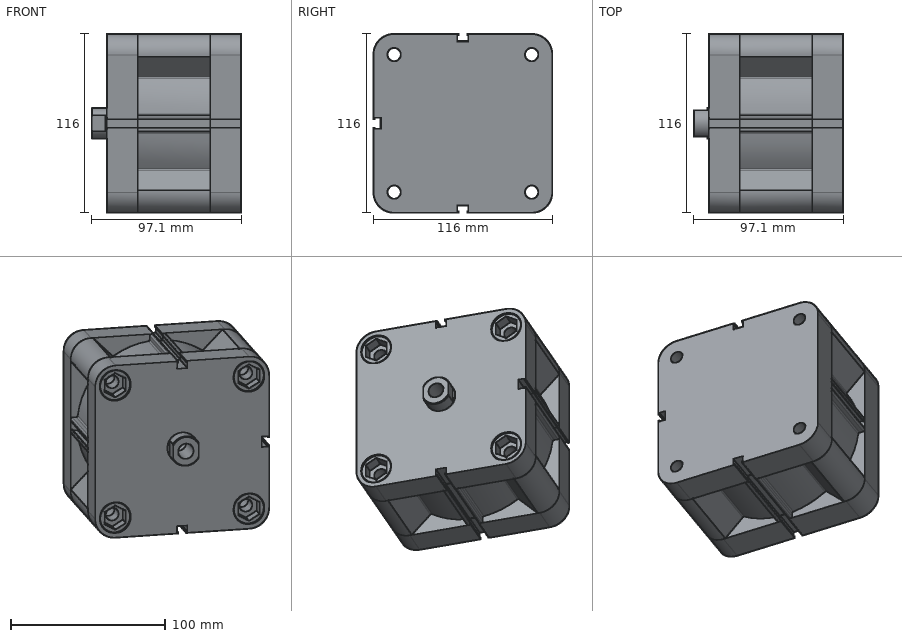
import cadquery as cq
import math

half_side = 58.0
cap_length = 20.0
barrel_length = 47.1
rear_cap_start = cap_length + barrel_length

bolt_offset = 44.5
corner_radius = half_side - bolt_offset
bolt_hole_diameter = 8.5
hex_across_flats = 14.2
hex_depth = 8.7
counterbore_diameter = 20.5
counterbore_depth = 0.5
ring_inner_diameter = 20.0
ring_depth = 1.0

slot_mouth_width = 5.5
slot_width = 7.0
slot_lip = 0.9
cap_slot_depth = 5.0
cap_slot_angles = (0, 90, 180)

tube_radius = 53.7
web_thickness = 20.9
rail_width = 10.8
barrel_slot_depth = 4.6
profile_fillet = 1.0
mouth_fillet = 0.5
barrel_slot_angles = (0, 90, 180, 270)

rod_diameter = 20.0
rod_projection = 10.0
rod_flats = 17.0
rod_collar = 1.0
rod_chamfer = 0.5
rod_bore_diameter = 10.2
rod_bore_depth = 20.0
drill_point_angle = 118.0

bolt_centres = [(y, z) for y in (-bolt_offset, bolt_offset) for z in (-bolt_offset, bolt_offset)]


def x_plane(x):
    """Plane across the axis at x, with local axes along Y and Z and the normal along +X."""
    return cq.Workplane("YZ", origin=(x, 0, 0))


def slot_cutter(x, length, depth, angle):
    """Lipped slot in the top side, turned about the X axis by the angle."""
    mouth = x_plane(x).center(0, half_side - depth / 2).rect(slot_mouth_width, depth).extrude(length)
    channel_height = depth - slot_lip
    channel_centre = half_side - slot_lip - channel_height / 2
    channel = x_plane(x).center(0, channel_centre).rect(slot_width, channel_height).extrude(length)
    return mouth.union(channel).rotate((0, 0, 0), (1, 0, 0), angle)


def cap_blank(x):
    """Rounded square cap with the bolt holes and the sensor slots cut through it."""
    cap = x_plane(x).rect(2 * half_side, 2 * half_side).extrude(cap_length)
    cap = cap.edges("|X").fillet(corner_radius)
    cap = cap.cut(x_plane(x).pushPoints(bolt_centres).circle(bolt_hole_diameter / 2).extrude(cap_length))
    for angle in cap_slot_angles:
        cap = cap.cut(slot_cutter(x, cap_length, cap_slot_depth, angle))
    return cap


def make_front_cap():
    """Cap with the rod hole and, at each bolt hole, a hex socket in a shallow ringed counterbore."""
    hex_corner_diameter = 2 * hex_across_flats / math.sqrt(3)
    cap = cap_blank(0)
    for y, z in bolt_centres:
        counterbore = x_plane(0).center(y, z).circle(counterbore_diameter / 2).extrude(counterbore_depth)
        ring = x_plane(0).center(y, z).circle(counterbore_diameter / 2).circle(ring_inner_diameter / 2)
        socket = x_plane(0).center(y, z).transformed(rotate=(0, 0, 90)).polygon(6, hex_corner_diameter)
        cap = cap.cut(counterbore).cut(ring.extrude(ring_depth)).cut(socket.extrude(hex_depth))
    return cap.cut(x_plane(0).circle(rod_diameter / 2).extrude(cap_length))


def fillet_at_radius(body, radius, fillet):
    """Round the edges along X that lie at the given distance from the axis."""
    tolerance = 0.01

    def at_radius(edge):
        centre = edge.Center()
        return abs(math.hypot(centre.y, centre.z) - radius) < tolerance

    return body.edges("|X").filter(at_radius).fillet(fillet)


def make_barrel():
    """Tube crossed by two diagonal webs with rounded ends, with a slotted rail on each side."""
    length = barrel_length
    start = x_plane(cap_length)
    barrel = start.circle(tube_radius).extrude(length)
    web_length = 2 * (math.hypot(bolt_offset, bolt_offset) + corner_radius)
    web = start.slot2D(web_length, 2 * corner_radius).extrude(length)
    web = web.intersect(start.rect(web_length, web_thickness).extrude(length))
    for angle in (45, 135):
        barrel = barrel.union(web.rotate((0, 0, 0), (1, 0, 0), angle))
    barrel = barrel.union(start.rect(rail_width, 2 * half_side).extrude(length))
    barrel = barrel.union(start.rect(2 * half_side, rail_width).extrude(length))

    barrel = fillet_at_radius(barrel, tube_radius, profile_fillet)
    barrel = fillet_at_radius(barrel, math.hypot(half_side, rail_width / 2), profile_fillet)
    for angle in barrel_slot_angles:
        barrel = barrel.cut(slot_cutter(cap_length, length, barrel_slot_depth, angle))
    barrel = fillet_at_radius(barrel, math.hypot(half_side, slot_mouth_width / 2), mouth_fillet)
    return barrel.cut(start.pushPoints(bolt_centres).circle(bolt_hole_diameter / 2).extrude(length))


def make_rod():
    """Round rod with two wrench flats and a blind bore ending in a drill point."""
    length = rod_projection + cap_length
    rod = x_plane(-rod_projection).circle(rod_diameter / 2).extrude(length)
    rod = rod.faces("<X").chamfer(rod_chamfer)
    flat_length = rod_projection - rod_collar
    flats = (
        x_plane(-rod_projection)
        .rect(2 * rod_diameter, rod_diameter)
        .rect(rod_flats, rod_diameter)
        .extrude(flat_length)
    )
    rod = rod.cut(flats)
    bore_radius = rod_bore_diameter / 2
    point_length = bore_radius / math.tan(math.radians(drill_point_angle / 2))
    bore_end = rod_bore_depth - rod_projection
    bore = (
        cq.Workplane("XY")
        .moveTo(-rod_projection, 0)
        .lineTo(-rod_projection, bore_radius)
        .lineTo(bore_end, bore_radius)
        .lineTo(bore_end + point_length, 0)
        .close()
        .revolve(360, (0, 0, 0), (1, 0, 0))
    )
    return rod.cut(bore)


front_cap = make_front_cap()
barrel = make_barrel()
rear_cap = cap_blank(rear_cap_start)
rod = make_rod()

result = cq.Compound.makeCompound([front_cap.val(), barrel.val(), rear_cap.val(), rod.val()])